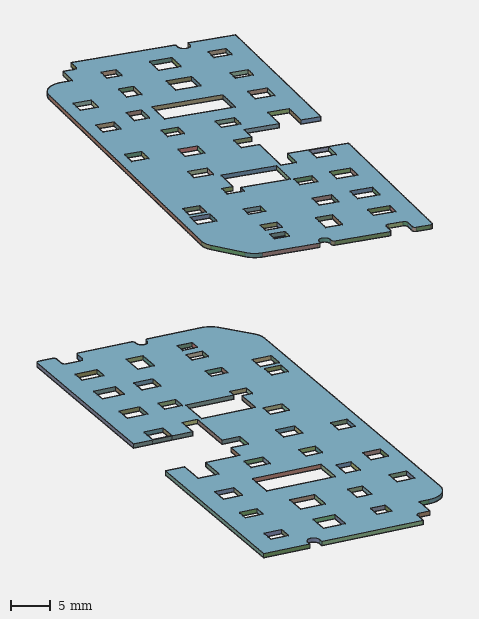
import cadquery as cq

length = 64.51
width = 29.02
thickness = 0.6

lower_right_inset = 0.1
shoulder_step = (2.15, 6.5)
foot_step = (5.25, 4.5)
bevel_run = 5.4
bevel_rise = 4.5
foot_radius = 3.1
bevel_radius = 2.6
edge_radius = 0.4
notch_corner_radius = 0.5

opening_left = 27.85
opening_right = 36.85
opening_floor = 18.5
pocket_left = 30.4
pocket_right = 32.9
pocket_floor = 16.0
left_bay_end = 24.0
left_bay_bottom = 23.35
left_bay_top = 26.3
right_bay_end = 39.9
right_bay_top = 20.65

square_notch_end = 62.25
square_notch_bottom = 23.35
square_notch_top = 26.3
left_notch_depth = 1.5
left_notch_y = 21.65
left_notch_radius = 0.83
right_notch_end = 63.05
right_notch_y = 14.45
right_notch_radius = 0.75

window_left = right_bay_end
window_right = 44.4
window_bottom = 10.3
window_top = 17.9
annex_left = 43.8
annex_right = 45.6
annex_bottom = 8.75
annex_top = 11.1

top_row_holes = [
    (4.5, 25.0, 1.95, 2.5),
    (11.6, 25.0, 1.75, 2.5),
    (18.2, 24.9, 2.5, 2.7),
    (38.25, 24.9, 2.5, 2.7),
    (45.35, 24.8, 2.35, 2.9),
    (52.05, 24.9, 2.5, 3.1),
    (57.95, 24.7, 1.95, 3.1),
]
upper_row_holes = [
    (5.0, 17.3, 3.0, 3.1),
    (11.5, 17.1, 3.1, 3.5),
    (18.8, 15.4, 4.1, 9.7),
    (25.0, 17.5, 2.1, 2.7),
    (45.5, 19.55, 1.95, 2.5),
    (52.15, 19.45, 2.35, 2.7),
    (58.45, 17.3, 3.3, 2.35),
]
middle_row_holes = [
    (5.25, 9.85, 1.95, 2.1),
    (11.3, 9.85, 2.7, 2.1),
    (18.5, 7.9, 2.7, 2.1),
    (25.0, 9.95, 2.1, 2.35),
    (31.5, 9.75, 2.35, 2.7),
    (38.25, 8.2, 2.1, 2.7),
    (51.65, 9.95, 1.75, 2.35),
    (57.1, 9.95, 1.75, 2.35),
    (60.1, 9.85, 1.55, 2.1),
]
lower_row_holes = [
    (13.05, 3.05, 2.35, 2.5),
    (20.45, 3.05, 2.35, 2.5),
    (30.35, 2.75, 2.35, 2.35),
    (48.75, 2.95, 2.1, 2.35),
    (51.75, 2.95, 2.35, 2.7),
]


def block(left, right, bottom, top):
    """Full-thickness rectangular block between the given limits."""
    return cq.Workplane("XY").box(right - left, top - bottom, thickness, centered=False).translate(
        (left, bottom, 0)
    )


def round_corner(body, x, y, radius):
    """Fillet the vertical edge standing at (x, y)."""
    return body.edges("|Z").edges(cq.selectors.NearestToPointSelector((x, y, thickness / 2))).fillet(radius)


def make_blank():
    """Plate with its lower left steps, lower right bevel and side notches."""
    lower_right = length - lower_right_inset
    bevel_bottom_x = lower_right - bevel_run
    blank = (
        cq.Workplane("XY")
        .moveTo(foot_step[0], 0)
        .lineTo(bevel_bottom_x, 0)
        .lineTo(lower_right, bevel_rise)
        .lineTo(lower_right, right_notch_y - right_notch_radius)
        .lineTo(right_notch_end + right_notch_radius, right_notch_y - right_notch_radius)
        .threePointArc(
            (right_notch_end, right_notch_y),
            (right_notch_end + right_notch_radius, right_notch_y + right_notch_radius),
        )
        .lineTo(length, right_notch_y + right_notch_radius)
        .lineTo(length, square_notch_bottom)
        .lineTo(square_notch_end, square_notch_bottom)
        .lineTo(square_notch_end, square_notch_top)
        .lineTo(length, square_notch_top)
        .lineTo(length, width)
        .lineTo(0, width)
        .lineTo(0, left_notch_y + left_notch_radius)
        .lineTo(left_notch_depth - left_notch_radius, left_notch_y + left_notch_radius)
        .threePointArc(
            (left_notch_depth, left_notch_y),
            (left_notch_depth - left_notch_radius, left_notch_y - left_notch_radius),
        )
        .lineTo(0, left_notch_y - left_notch_radius)
        .lineTo(0, shoulder_step[1])
        .lineTo(*shoulder_step)
        .lineTo(shoulder_step[0], foot_step[1])
        .lineTo(*foot_step)
        .close()
        .extrude(thickness)
    )
    blank = round_corner(blank, foot_step[0], 0, foot_radius)
    blank = round_corner(blank, bevel_bottom_x, 0, bevel_radius)
    blank = round_corner(blank, lower_right, bevel_rise, bevel_radius)
    edge_corners = [
        (length, square_notch_bottom),
        (length, square_notch_top),
        (length, width),
        (length, right_notch_y + right_notch_radius),
        (lower_right, right_notch_y - right_notch_radius),
    ]
    for x, y in edge_corners:
        blank = round_corner(blank, x, y, edge_radius)
    notch_corners = [
        (square_notch_end, square_notch_bottom),
        (square_notch_end, square_notch_top),
        shoulder_step,
    ]
    for x, y in notch_corners:
        blank = round_corner(blank, x, y, notch_corner_radius)
    return blank


def cut_opening(body):
    """Stepped opening in the top edge with its pocket and two bays."""
    body = body.cut(block(opening_left, opening_right, opening_floor, width))
    body = body.cut(block(pocket_left, pocket_right, pocket_floor, opening_floor))
    body = body.cut(block(left_bay_end, opening_left, left_bay_bottom, left_bay_top))
    return body.cut(block(opening_right, right_bay_end, opening_floor, right_bay_top))


def cut_window(body):
    """Large window and the small one overlapping its corner."""
    body = body.cut(block(window_left, window_right, window_bottom, window_top))
    return body.cut(block(annex_left, annex_right, annex_bottom, annex_top))


def cut_holes(body, holes):
    """Rectangular through holes."""
    for x, y, size_x, size_y in holes:
        body = body.cut(block(x - size_x / 2, x + size_x / 2, y - size_y / 2, y + size_y / 2))
    return body


plate = make_blank()
plate = cut_opening(plate)
plate = cut_window(plate)
for row in (top_row_holes, upper_row_holes, middle_row_holes, lower_row_holes):
    plate = cut_holes(plate, row)

result = plate.translate((-length / 2, -width / 2, -thickness / 2))